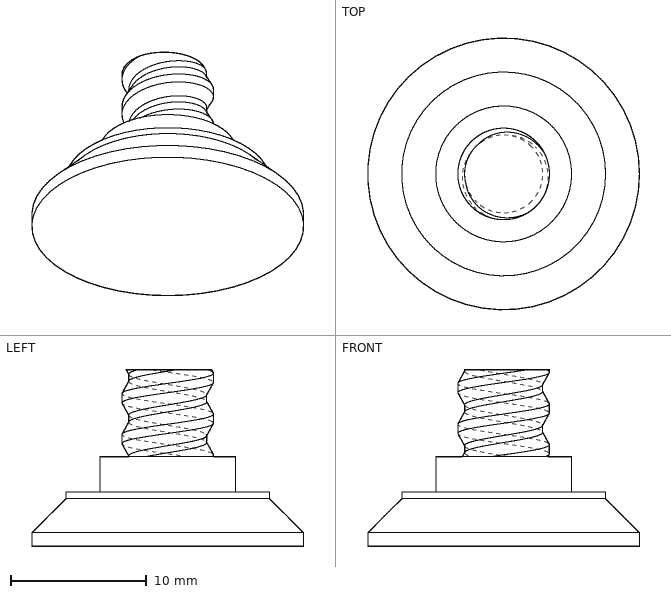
import cadquery as cq

base_diameter = 20.0
shoulder_diameter = 15.0
boss_diameter = 10.0
rim_top = 1.0
cone_top = rim_top + (base_diameter - shoulder_diameter) / 2
shoulder_top = 4.0
boss_top = 6.6
total_height = 13.0

major_diameter = 6.75
root_diameter = 5.75
pitch = 3.0
root_width = 0.52
flank_height = 0.9
crest_width = pitch - root_width - 2 * flank_height
crest_center_z = 10.15
root_overlap = 0.1


def make_base():
    base_radius = base_diameter / 2
    shoulder_radius = shoulder_diameter / 2
    boss_radius = boss_diameter / 2
    half_section = [
        (0, 0),
        (base_radius, 0),
        (base_radius, rim_top),
        (shoulder_radius, cone_top),
        (shoulder_radius, shoulder_top),
        (boss_radius, shoulder_top),
        (boss_radius, boss_top),
        (0, boss_top),
    ]
    return cq.Workplane("XZ").polyline(half_section).close().revolve(360, (0, 0), (0, 1))


def make_shank_cylinder(diameter):
    return (
        cq.Workplane("XY")
        .workplane(offset=boss_top)
        .circle(diameter / 2)
        .extrude(total_height - boss_top)
    )


def make_thread_ridge():
    root_radius = root_diameter / 2
    major_radius = major_diameter / 2
    thread_depth = major_radius - root_radius
    inner_radius = root_radius - root_overlap
    crest_half = crest_width / 2
    inner_half = crest_half + flank_height * (thread_depth + root_overlap) / thread_depth

    start_z = crest_center_z - 2 * pitch
    helix_height = 4 * pitch
    helix = cq.Wire.makeHelix(pitch, helix_height, root_radius)
    path = helix.moved(cq.Location(cq.Vector(0, 0, start_z)))
    profile = [
        (inner_radius, start_z - inner_half),
        (major_radius, start_z - crest_half),
        (major_radius, start_z + crest_half),
        (inner_radius, start_z + inner_half),
    ]
    section = cq.Workplane("XZ").polyline(profile).close()
    return section.sweep(cq.Workplane(path), isFrenet=True)


def make_threaded_shank():
    trim = make_shank_cylinder(boss_diameter)
    ridge = make_thread_ridge().intersect(trim)
    return make_shank_cylinder(root_diameter).union(ridge)


result = make_base().union(make_threaded_shank())